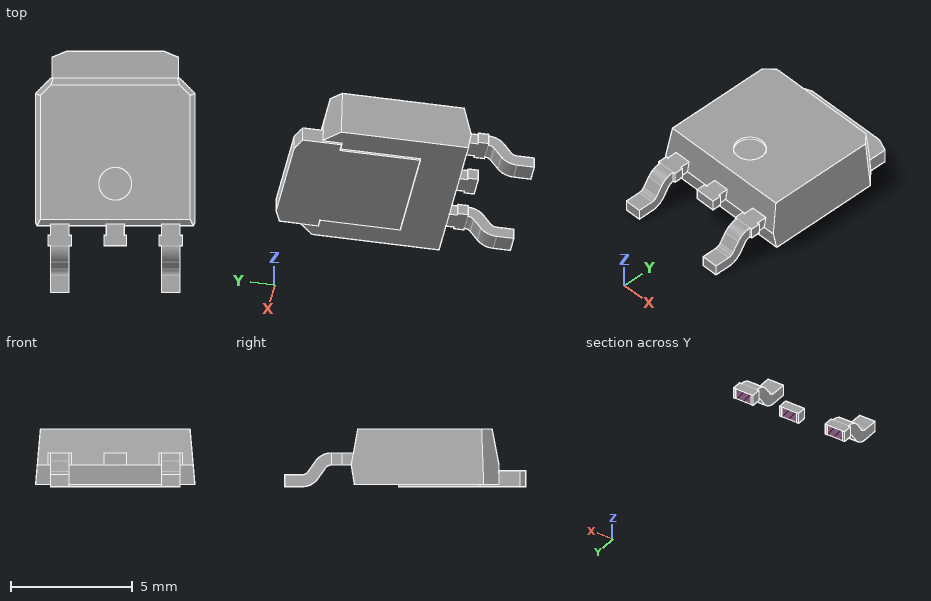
import cadquery as cq
import math

BODY_WIDTH = 6.54
BODY_TOP = 2.38
BODY_BOTTOM = 0.09
PARTING_Z = 0.89
FRONT_TOP_Y = -1.95
FRONT_PARTING_Y = -2.22
FRONT_BOTTOM_Y = -2.09
REAR_TOP_Y = 3.56
REAR_Y = 3.85
SIDE_DRAFT = 5.0
CORNER_CUT_Y = 3.22
TRIM_MARGIN = 0.495

MARK_RADIUS = 0.67
MARK_Y = -0.49
MARK_DEPTH = 0.1

TAB_WIDTH = 5.19
TAB_THICKNESS = 0.66
TAB_END_Y = 4.95
TAB_CORNER_X = 0.59
TAB_CORNER_Y = 0.25
TAB_WIDE_END_Y = 3.07
PAD_WIDTH = 4.455
PAD_FRONT_Y = -0.28

LEAD_PITCH = 2.28
LEAD_WIDTH = 0.77
LEAD_SHOULDER_WIDTH = 0.97
STUB_WIDTH = 0.74
STUB_SHOULDER_WIDTH = 0.94
LEAD_THICKNESS = 0.5
LEAD_ROOT_Y = -1.485
SHOULDER_START_Y = -2.59
SHOULDER_END_Y = -3.03
LEAD_TIP_Y = -4.95
BEND_ANGLE = math.radians(55)
BEND_INNER_RADIUS = 0.3


def make_body():
    """Side profile across the full width, trimmed by a drafted prism with cut rear corners."""
    profile = (
        cq.Workplane("YZ")
        .polyline([
            (FRONT_BOTTOM_Y, BODY_BOTTOM),
            (REAR_Y, BODY_BOTTOM),
            (REAR_Y, PARTING_Z),
            (REAR_TOP_Y, BODY_TOP),
            (FRONT_TOP_Y, BODY_TOP),
            (FRONT_PARTING_Y, PARTING_Z),
        ])
        .close()
        .extrude(BODY_WIDTH / 2, both=True)
    )
    half_width = BODY_WIDTH / 2
    trim_front_y = FRONT_PARTING_Y - TRIM_MARGIN
    trim_rear_y = REAR_Y + TRIM_MARGIN
    corner_x = half_width - (trim_rear_y - CORNER_CUT_Y)
    trim = (
        cq.Workplane("XY", origin=(0, 0, BODY_BOTTOM))
        .polyline([
            (-half_width, trim_front_y),
            (half_width, trim_front_y),
            (half_width, CORNER_CUT_Y),
            (corner_x, trim_rear_y),
            (-corner_x, trim_rear_y),
            (-half_width, CORNER_CUT_Y),
        ])
        .close()
        .extrude(BODY_TOP - BODY_BOTTOM, taper=SIDE_DRAFT)
    )
    mark = (
        cq.Workplane("XY", origin=(0, MARK_Y, BODY_TOP - MARK_DEPTH))
        .circle(MARK_RADIUS)
        .extrude(MARK_DEPTH)
    )
    return profile.intersect(trim).cut(mark)


def make_tab():
    """Flat heat-sink plate: wide tab with cut corners, narrower pad under the body."""
    half_tab = TAB_WIDTH / 2
    half_pad = PAD_WIDTH / 2
    return (
        cq.Workplane("XY")
        .moveTo(-half_pad, PAD_FRONT_Y)
        .lineTo(half_pad, PAD_FRONT_Y)
        .lineTo(half_pad, TAB_WIDE_END_Y)
        .lineTo(half_tab, TAB_WIDE_END_Y)
        .lineTo(half_tab, TAB_END_Y - TAB_CORNER_Y)
        .lineTo(half_tab - TAB_CORNER_X, TAB_END_Y)
        .lineTo(TAB_CORNER_X - half_tab, TAB_END_Y)
        .lineTo(-half_tab, TAB_END_Y - TAB_CORNER_Y)
        .lineTo(-half_tab, TAB_WIDE_END_Y)
        .lineTo(-half_pad, TAB_WIDE_END_Y)
        .close()
        .extrude(TAB_THICKNESS)
    )


def lead_bar(x, width, start_y, end_y):
    """Straight bar at lead height, centred on x and running forward from start_y to end_y."""
    return cq.Workplane("XY").box(
        width, start_y - end_y, LEAD_THICKNESS, centered=(True, False, False)
    ).translate((x, end_y, PARTING_Z))


def make_stub(x, width, shoulder_width):
    """Straight root of a lead ending in a wider shoulder."""
    root = lead_bar(x, width, LEAD_ROOT_Y, SHOULDER_END_Y)
    shoulder = lead_bar(x, shoulder_width, SHOULDER_START_Y, SHOULDER_END_Y)
    return root.union(shoulder)


def make_formed_end(x):
    """S-bend from the shoulder down to a flat foot resting on z = 0."""
    inner = BEND_INNER_RADIUS
    outer = inner + LEAD_THICKNESS
    slope_drop = PARTING_Z - (inner + outer) * (1 - math.cos(BEND_ANGLE))
    bend_run = (inner + outer) * math.sin(BEND_ANGLE) + slope_drop / math.tan(BEND_ANGLE)
    foot_y = SHOULDER_END_Y - bend_run
    upper_z = PARTING_Z - inner
    lower_z = outer

    def upper(radius, angle):
        return (SHOULDER_END_Y - radius * math.sin(angle), upper_z + radius * math.cos(angle))

    def lower(radius, angle):
        return (foot_y + radius * math.sin(angle), lower_z - radius * math.cos(angle))

    half_bend = BEND_ANGLE / 2
    return (
        cq.Workplane("YZ", origin=(x, 0, 0))
        .moveTo(*upper(outer, 0))
        .threePointArc(upper(outer, half_bend), upper(outer, BEND_ANGLE))
        .lineTo(*lower(inner, BEND_ANGLE))
        .threePointArc(lower(inner, half_bend), lower(inner, 0))
        .lineTo(LEAD_TIP_Y, LEAD_THICKNESS)
        .lineTo(LEAD_TIP_Y, 0)
        .lineTo(*lower(outer, 0))
        .threePointArc(lower(outer, half_bend), lower(outer, BEND_ANGLE))
        .lineTo(*upper(inner, BEND_ANGLE))
        .threePointArc(upper(inner, half_bend), upper(inner, 0))
        .close()
        .extrude(LEAD_WIDTH / 2, both=True)
    )


result = make_body().union(make_tab()).union(make_stub(0, STUB_WIDTH, STUB_SHOULDER_WIDTH))
for lead_x in (-LEAD_PITCH, LEAD_PITCH):
    result = result.union(make_stub(lead_x, LEAD_WIDTH, LEAD_SHOULDER_WIDTH))
    result = result.union(make_formed_end(lead_x))